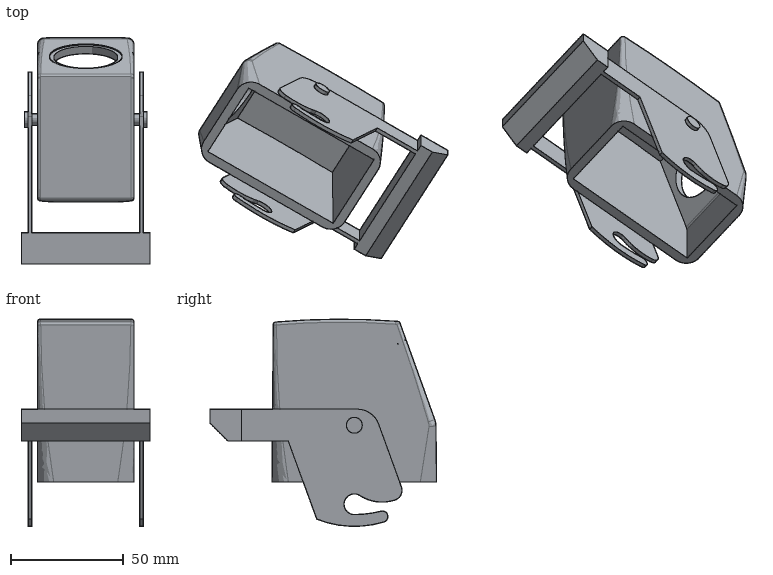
import cadquery as cq
import math

tilt = math.radians(20)

hood_half_width = 21.46
hood_base_half = 36.5
hood_front_top_y = -36.0
bend_y = 36.2
bend_z = 26.2
bend_radius = 9.0
slope_top_y = 20.0
hood_height = 72.2
crown_y = -6.0
crown_radius = 331.6
wall = 4.0
top_round = 1.4

corner_top = 1.5
corner_bend = 3.1
corner_base = 7.4
overshoot = 1.0

entry_diameter = 28.3
recess_diameter = 32.2
recess_depth = 0.5

pivot_z = 25.1
pin_diameter = 5.3
head_diameter = 7.0
head_end_x = 27.1

plate_inner_x = 23.8
plate_thickness = 1.7
arm_top_z = 32.3
arm_bottom_z = 18.1
shoulder_radius = 10.0
shoulder_y = 1.3
leg_corner_y = -29.2
heel_radius = 4.5
heel_z = -3.7
notch_radius = 4.5
notch_z = -9.8
throat_radius = 18.1
hook_radius = 44.8
tip_radius = 2.5
tip_angle = math.radians(17)

bar_half_width = 28.49
bar_back_y = -50.0
bar_front_y = -64.0
bar_chamfer = 8.0


def along(start, end, distance):
    """Point on the line from start to end, at a distance from start."""
    share = distance / math.dist(start, end)
    return tuple(s + share * (e - s) for s, e in zip(start, end))


def polar(centre, radius, angle):
    """Point on a YZ circle; the angle is measured from +Y toward +Z."""
    return (centre[0] + radius * math.cos(angle), centre[1] + radius * math.sin(angle))


def mirrored(solid):
    """The solid together with its mirror image across X = 0."""
    return solid.union(solid.mirror("YZ"))


def crown_z(y):
    return hood_height - crown_radius + math.sqrt(crown_radius**2 - (y - crown_y) ** 2)


front_base = (-hood_base_half, 0)
front_top = (hood_front_top_y, crown_z(hood_front_top_y))
slope_top = (slope_top_y, crown_z(slope_top_y))
bend = (bend_y, bend_z)
back_base = (hood_base_half, 0)

back_lean = math.atan2(hood_base_half - bend_y, bend_z)
slope_lean = math.atan2(bend_y - slope_top_y, slope_top[1] - bend_z)
bend_angle = slope_lean - back_lean
bend_tangent = bend_radius * math.tan(bend_angle / 2)
bend_start = along(bend, back_base, bend_tangent)
bend_end = along(bend, slope_top, bend_tangent)
bend_centre = polar(bend_start, -bend_radius, back_lean)
bend_middle = polar(bend_centre, bend_radius, back_lean + bend_angle / 2)
front_lean = math.atan2(hood_base_half + hood_front_top_y, front_top[1])


def make_hood_shell():
    outline = (
        cq.Workplane("YZ")
        .moveTo(*front_base)
        .lineTo(*front_top)
        .threePointArc((crown_y, hood_height), slope_top)
        .lineTo(*bend_end)
        .threePointArc(bend_middle, bend_start)
        .lineTo(*back_base)
        .close()
    )
    return outline.extrude(hood_half_width, both=True).faces("<Z").shell(-wall)


def corner_section(point, lean, radius, side):
    """Waste outside a rounded corner at +X, square to a corner edge leaning toward the middle.

    side is +1 for a back corner and -1 for a front corner.
    """
    plane = cq.Plane(
        origin=(hood_half_width, *point),
        xDir=(1, 0, 0),
        normal=(0, -math.sin(lean), side * math.cos(lean)),
    )
    arc_middle = -radius * (1 - math.sqrt(0.5))
    return (
        cq.Workplane(plane)
        .moveTo(-radius, 0)
        .threePointArc((arc_middle, arc_middle), (0, -radius))
        .lineTo(overshoot, -radius)
        .lineTo(overshoot, overshoot)
        .lineTo(-radius, overshoot)
        .close()
    )


def straight_corner_cutter(top, bottom, lean, bottom_radius, side):
    """Corner waste whose radius grows with the square of the distance from the top."""
    wires = []
    length = math.dist(top, bottom)
    for share in (0, 0.5, 1):
        radius = corner_top + (bottom_radius - corner_top) * share**2
        section = corner_section(along(top, bottom, share * length), lean, radius, side)
        wires.append(section.wire().val())
    return cq.Workplane(cq.Solid.makeLoft(wires))


def front_corner_cutter():
    above_top = along(front_top, front_base, -overshoot)
    below_base = along(front_base, front_top, -overshoot)
    return straight_corner_cutter(above_top, below_base, front_lean, corner_base, -1)


def back_corner_cutter():
    """The back corner follows the lower wall, the rounded bend and the slope."""
    above_top = along(slope_top, bend, -overshoot)
    below_base = along(back_base, bend, -overshoot)
    slope = straight_corner_cutter(above_top, bend_end, slope_lean, corner_bend, 1)
    around_bend = corner_section(bend_start, back_lean, corner_bend, 1).revolve(
        math.degrees(bend_angle), (0, -bend_radius), (1, -bend_radius)
    )
    lower_wires = [
        corner_section(below_base, back_lean, corner_base, 1).wire().val(),
        corner_section(bend_start, back_lean, corner_bend, 1).wire().val(),
    ]
    lower = cq.Workplane(cq.Solid.makeLoft(lower_wires, True))
    return slope.union(around_bend).union(lower)


def make_entry_cutter():
    """Stepped hole square to the middle of the sloped wall."""
    middle = along(bend, slope_top, math.dist(bend, slope_top) / 2)
    entry = cq.Workplane(
        cq.Plane(
            origin=(0, *middle),
            xDir=(1, 0, 0),
            normal=(0, math.cos(slope_lean), math.sin(slope_lean)),
        )
    )
    hole = entry.circle(entry_diameter / 2).extrude(-wall - overshoot)
    recess = entry.circle(recess_diameter / 2).extrude(-recess_depth)
    return hole.union(recess)


def make_hood():
    hood = make_hood_shell()
    for cutter in (front_corner_cutter(), back_corner_cutter()):
        hood = hood.cut(mirrored(cutter))
    crown = cq.selectors.NearestToPointSelector((0, crown_y, hood_height))
    hood = hood.faces(crown).edges().fillet(top_round)
    return hood.cut(make_entry_cutter())


def make_pin():
    """Headed pin from inside the +X hood wall out through the lever plate."""
    shaft = (
        cq.Workplane("YZ", origin=(hood_half_width - wall / 2, 0, pivot_z))
        .circle(pin_diameter / 2)
        .extrude(plate_inner_x + plate_thickness - hood_half_width + wall / 2)
    )
    head_start_x = plate_inner_x + plate_thickness
    head = (
        cq.Workplane("YZ", origin=(head_start_x, 0, pivot_z))
        .circle(head_diameter / 2)
        .extrude(head_end_x - head_start_x)
    )
    return shaft.union(head)


def make_lever_plate():
    pivot = (0, pivot_z)

    shoulder = (shoulder_y, arm_top_z - shoulder_radius)
    shoulder_end = polar(shoulder, shoulder_radius, tilt)
    heel_y = shoulder_end[0] + (shoulder_end[1] - heel_z) * math.tan(tilt) - heel_radius / math.cos(tilt)
    heel = (heel_y, heel_z)

    notch = (0, notch_z)
    to_heel = throat_radius - heel_radius
    to_notch = throat_radius + notch_radius
    span = math.dist(heel, notch)
    notch_corner = math.acos((to_notch**2 + span**2 - to_heel**2) / (2 * to_notch * span))
    notch_to_heel = math.atan2(heel[1] - notch[1], heel[0] - notch[0])
    throat = polar(notch, to_notch, notch_to_heel + notch_corner)
    heel_end_angle = math.atan2(heel[1] - throat[1], heel[0] - throat[0])
    notch_start_angle = math.atan2(notch[1] - throat[1], notch[0] - throat[0])

    tip = polar(pivot, hook_radius - tip_radius, tip_angle - math.pi / 2)
    notch_bottom = (0, notch_z - notch_radius)
    tip_rise = tip[1] - notch_bottom[1]
    inner_radius = (tip[0] ** 2 + tip_rise**2 - tip_radius**2) / (2 * (tip_radius + tip_rise))
    inner = (0, notch_bottom[1] + inner_radius)
    inner_end_angle = math.atan2(tip[1] - inner[1], tip[0] - inner[0])

    leg_offset = (pivot_z - arm_bottom_z) * math.sin(tilt) - leg_corner_y * math.cos(tilt)
    leg_end_angle = math.pi + tilt + math.acos(leg_offset / hook_radius)

    outline = (
        cq.Workplane("YZ", origin=(plate_inner_x, 0, 0))
        .moveTo(bar_front_y + bar_chamfer, arm_top_z)
        .lineTo(shoulder_y, arm_top_z)
        .threePointArc(polar(shoulder, shoulder_radius, (math.pi / 2 + tilt) / 2), shoulder_end)
        .lineTo(*polar(heel, heel_radius, tilt))
        .threePointArc(
            polar(heel, heel_radius, (tilt + heel_end_angle) / 2),
            polar(heel, heel_radius, heel_end_angle),
        )
        .threePointArc(
            polar(throat, throat_radius, (heel_end_angle + notch_start_angle) / 2),
            polar(throat, throat_radius, notch_start_angle),
        )
        .threePointArc((-notch_radius, notch_z), notch_bottom)
        .threePointArc(
            polar(inner, inner_radius, (inner_end_angle - math.pi / 2) / 2),
            polar(inner, inner_radius, inner_end_angle),
        )
        .threePointArc(
            polar(tip, tip_radius, 0),
            polar(pivot, hook_radius, tip_angle - math.pi / 2),
        )
        .threePointArc((0, pivot_z - hook_radius), polar(pivot, hook_radius, leg_end_angle))
        .lineTo(leg_corner_y, arm_bottom_z)
        .lineTo(bar_front_y + bar_chamfer, arm_bottom_z)
        .close()
    )
    return outline.extrude(plate_thickness)


def make_bar():
    return (
        cq.Workplane("YZ")
        .moveTo(bar_back_y, arm_bottom_z)
        .lineTo(bar_back_y, arm_top_z)
        .lineTo(bar_front_y, arm_top_z)
        .lineTo(bar_front_y, arm_bottom_z + bar_chamfer)
        .lineTo(bar_front_y + bar_chamfer, arm_bottom_z)
        .close()
        .extrude(bar_half_width, both=True)
    )


result = (
    make_hood()
    .union(make_bar())
    .union(mirrored(make_lever_plate()))
    .union(mirrored(make_pin()))
)